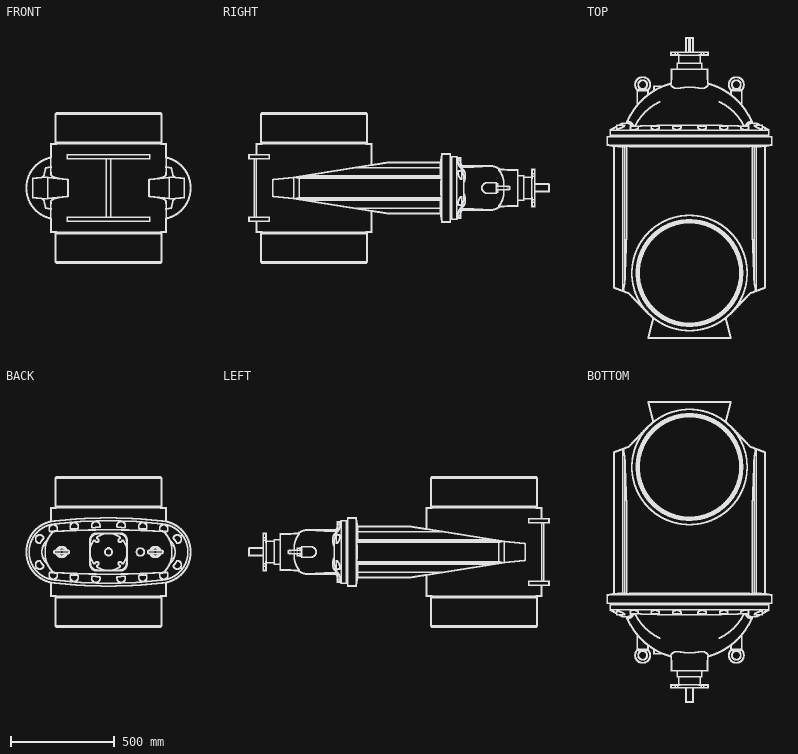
import cadquery as cq
import math


overall_length = 1446

bore_radius = 243.0
mouth_radius = 246.0
mouth_depth = 127.0
mouth_taper = 19.0
mouth_chamfer_radius = 249.0
mouth_chamfer_depth = 15.0
pipe_radius = 256.0
pipe_half_length = 363.0
pipe_chamfer = 7.0
groove_radius = 252.0
groove_width = 7.0
barrel_radius = 278.0
barrel_half_length = 213.0

foot_bottom = -314.0
foot_height = 101.0
foot_half_width = 200.0
foot_top_half_width = 174.0
foot_plate_offset = 150.0
foot_plate_thickness = 20.0
foot_web_width = 23.0
foot_web_bottom = -288.0

housing_half_height = 123.0
housing_shoulder = (302.0, 97.0)
housing_step = (311.0, 60.0)
rail_root = (321.0, 50.0)
rail_edge = (365.0, 46.0)
rail_end_y = -71.0
tongue_start = (292.0, -98.0)
tongue_end = (195.0, -200.0)
tongue_end_half_height = 40.0
slope_start_y = 353.0

flange_half_length = 396.0
flange_half_height = 165.0
flange_corner = (278.0, 147.0)
flange_bottom = 616.0
flange_top = 656.0
flange_draft_height = 7.0
flange_draft_inset = 42.0
cover_bottom = 662.0
cover_top = 688.0
cover_inset = 13.7
gasket_inset = 20.0

skirt_top = 722.0
skirt_inset = 75.0
dome_center_y = 597.0
dome_radius = 328.0
dome_half_height = 107.0
dome_half_length = 307.0
dome_corner = (266.0, 98.0)
dome_edge_radius = 80.0

bolt_radius = 20.0
bolt_top = 705.0
bolt_row_xs = (61.0, 165.0, 266.0)
bolt_row_inset = 38.0
end_bolt_x = 331.0
end_bolt_z = 62.0
end_bolt_top = 711.0

neck_half_width = 87.0
neck_corner_radius = 32.0
neck_top = 982.0
neck_plate_bottom = 947.0
neck_base_y = 853.0
neck_draft_angle = 4
collar_radius = 60.0
collar_top = 1011.0
yoke_radius = 52.0
disc_radius = 90.0
disc_bottom = 1048.0
disc_top = 1063.0
disc_slot_width = 16.0
disc_slot_center = 78.0
stem_radius = 17.0
stem_top = foot_bottom + overall_length
key_width = 7.0
key_top_z = 20.0
key_end_gap = 5.0

eye_x = 225.0
eye_y = 907.0
eye_ring_radius = 29.0
eye_wire_radius = 8.0
eye_collar_radius = 20.0
eye_collar_top = 885.0
eye_post_radius = 26.0
eye_post_top = 876.0
vent_x = -153.0
vent_radius = 19.0
vent_top = 900.0


def y_plane(y):
    """Sketch plane facing +X right and +Z up at the given Y."""
    return cq.Workplane("XZ", origin=(0, y, 0))


def y_cylinder(radius, bottom, top, x=0, z=0):
    return y_plane(bottom).center(x, z).circle(radius).extrude(bottom - top)


def mirrored_x(points):
    """Complete a right-hand chain of points with its mirror image across x = 0."""
    return points + [(-x, y) for x, y in reversed(points)]


def rounded_outline(plane, half_length, half_height, corner):
    """Closed outline of two shallow long arcs and two rounded ends that meet at the corners."""
    corner_x, corner_z = corner
    return (
        plane.moveTo(-corner_x, corner_z)
        .threePointArc((0, half_height), (corner_x, corner_z))
        .threePointArc((half_length, 0), (corner_x, -corner_z))
        .threePointArc((0, -half_height), (-corner_x, -corner_z))
        .threePointArc((-half_length, 0), (-corner_x, corner_z))
        .close()
    )


def flange_outline(plane, inset):
    """Flange outline moved inwards by inset."""
    corner = (flange_corner[0] - inset / 2, flange_corner[1] - inset)
    return rounded_outline(plane, flange_half_length - inset, flange_half_height - inset, corner)


def flange_slab(inset, bottom, top):
    return flange_outline(y_plane(bottom), inset).extrude(bottom - top)


def flange_taper(bottom_inset, top_inset, bottom, top):
    lower = flange_outline(y_plane(bottom), bottom_inset)
    upper = flange_outline(lower.workplane(offset=bottom - top), top_inset)
    return upper.loft(ruled=True)


def make_pipe():
    ends = cq.Workplane("XY").circle(pipe_radius).extrude(pipe_half_length, both=True)
    ends = ends.faces("|Z").edges().chamfer(pipe_chamfer)
    groove_half = barrel_half_length + groove_width
    grooves = (
        cq.Workplane("XY").circle(barrel_radius).circle(groove_radius).extrude(groove_half, both=True)
    )
    barrel = cq.Workplane("XY").circle(barrel_radius).extrude(barrel_half_length, both=True)
    return ends.cut(grooves).union(barrel)


def make_bore():
    """Through bore that widens slightly at both mouths, with a bevelled rim."""
    taper_outer = pipe_half_length - mouth_depth
    taper_inner = taper_outer - mouth_taper
    half = [
        (mouth_chamfer_radius, pipe_half_length),
        (mouth_radius, pipe_half_length - mouth_chamfer_depth),
        (mouth_radius, taper_outer),
        (bore_radius, taper_inner),
    ]
    profile = [(0, pipe_half_length)] + half
    profile += [(r, -z) for r, z in reversed(profile)]
    return cq.Workplane("XZ").polyline(profile).close().revolve(360, (0, 0, 0), (0, 1, 0))


def make_foot():
    foot_top = foot_bottom + foot_height
    outline = mirrored_x([(foot_half_width, foot_bottom), (foot_top_half_width, foot_top)])
    foot = cq.Workplane("XY").box(
        foot_web_width, -foot_web_bottom, 2 * foot_plate_offset + foot_plate_thickness
    ).translate((0, foot_web_bottom / 2, 0))
    for z in (-foot_plate_offset, foot_plate_offset):
        plate = cq.Workplane("XY", origin=(0, 0, z - foot_plate_thickness / 2))
        foot = foot.union(plate.polyline(outline).close().extrude(foot_plate_thickness))
    return foot


def make_housing():
    """Cross-section with crowned faces and side rails, trimmed to its plan and side outlines."""
    tongue_y = tongue_end[1]
    sx, sz = housing_shoulder
    side = [housing_step, rail_root, rail_edge]
    lower_side = [(x, -z) for x, z in reversed(side)]
    section = y_plane(tongue_y).moveTo(-sx, sz).threePointArc((0, housing_half_height), (sx, sz))
    for point in side + lower_side + [(sx, -sz)]:
        section = section.lineTo(*point)
    section = section.threePointArc((0, -housing_half_height), (-sx, -sz))
    for x, z in side + lower_side:
        section = section.lineTo(-x, -z)
    housing = section.close().extrude(tongue_y - flange_bottom)

    plan = mirrored_x([
        (rail_edge[0], flange_bottom),
        (rail_edge[0], rail_end_y),
        tongue_start,
        tongue_end,
    ])
    plan_solid = cq.Workplane("XY").polyline(plan).close().extrude(housing_half_height, both=True)

    upper = [
        (flange_bottom, housing_half_height),
        (slope_start_y, housing_half_height),
        (tongue_start[1], rail_root[1]),
        (tongue_y, tongue_end_half_height),
    ]
    side_outline = upper + [(y, -z) for y, z in reversed(upper)]
    side_solid = cq.Workplane("YZ").polyline(side_outline).close().extrude(rail_edge[0], both=True)
    return housing.intersect(plan_solid).intersect(side_solid)


def make_flanges():
    draft = flange_taper(flange_draft_inset, 0, flange_bottom - flange_draft_height, flange_bottom)
    body_flange = flange_slab(0, flange_bottom, flange_top)
    gasket = flange_slab(gasket_inset, flange_top, cover_bottom)
    cover = flange_slab(cover_inset, cover_bottom, cover_top)
    return draft.union(body_flange).union(gasket).union(cover)


def make_bonnet():
    """Sloping skirt under a rounded dome whose faces are crowned like the flanges."""
    skirt = flange_taper(cover_inset, skirt_inset, cover_top, skirt_top)
    dome_top = dome_center_y + dome_radius
    rise = cover_top - dome_center_y
    half_chord = math.sqrt(dome_radius**2 - rise**2)
    dome = (
        cq.Workplane("XY")
        .moveTo(-half_chord, cover_top)
        .threePointArc((0, dome_top), (half_chord, cover_top))
        .close()
        .extrude(dome_half_height, both=True)
        .edges("%CIRCLE")
        .fillet(dome_edge_radius)
    )
    footprint = rounded_outline(y_plane(cover_top), dome_half_length, dome_half_height, dome_corner)
    dome = dome.intersect(footprint.extrude(cover_top - dome_top))
    return skirt.union(dome)


def make_bolts():
    bolts = cq.Workplane("XY")
    corner_x, corner_z = flange_corner
    drop = (flange_half_height - corner_z) / corner_x**2
    for x in bolt_row_xs:
        z = flange_half_height - drop * x**2 - bolt_row_inset
        for sx in (-1, 1):
            for sz in (-1, 1):
                bolts = bolts.union(y_cylinder(bolt_radius, cover_bottom, bolt_top, sx * x, sz * z))
    for x in (-end_bolt_x, end_bolt_x):
        for z in (-end_bolt_z, end_bolt_z):
            bolts = bolts.union(y_cylinder(bolt_radius, cover_bottom, end_bolt_top, x, z))
    return bolts


def make_neck():
    """Neck block, collar, yoke and slotted disc stacked below the keyed stem."""
    width = 2 * neck_half_width
    outline = cq.Sketch().rect(width, width).vertices().fillet(neck_corner_radius)
    neck_plane = y_plane(neck_plate_bottom)
    plate = neck_plane.placeSketch(outline).extrude(neck_plate_bottom - neck_top)
    base = neck_plane.placeSketch(outline).extrude(neck_plate_bottom - neck_base_y, taper=-neck_draft_angle)
    neck = plate.union(base)
    collar = y_cylinder(collar_radius, neck_top, collar_top)
    yoke = y_cylinder(yoke_radius, collar_top, disc_bottom)
    disc = y_cylinder(disc_radius, disc_bottom, disc_top)
    slot = (
        y_plane(disc_bottom)
        .center(disc_slot_center + disc_radius / 2, 0)
        .slot2D(disc_radius + disc_slot_width, disc_slot_width)
        .extrude(disc_bottom - disc_top)
    )
    for angle in (45, 135, 225, 315):
        disc = disc.cut(slot.rotate((0, 0, 0), (0, 1, 0), angle))
    stem = y_cylinder(stem_radius, disc_top, stem_top)
    key_length = stem_top - key_end_gap - disc_top
    key = y_plane(disc_top).center(0, key_top_z / 2).rect(key_width, key_top_z).extrude(-key_length)
    return neck.union(collar).union(yoke).union(disc).union(stem).union(key)


def make_eye(x):
    post = y_cylinder(eye_post_radius, skirt_top, eye_post_top, x)
    collar = y_cylinder(eye_collar_radius, eye_post_top, eye_collar_top, x)
    ring = cq.Workplane(
        cq.Solid.makeTorus(eye_ring_radius, eye_wire_radius, cq.Vector(x, eye_y, 0), cq.Vector(0, 0, 1))
    )
    return post.union(collar).union(ring)


result = make_pipe().union(make_foot()).union(make_housing()).union(make_flanges())
result = result.union(make_bonnet()).union(make_bolts()).union(make_neck())
for eye_side in (-eye_x, eye_x):
    result = result.union(make_eye(eye_side))
result = result.union(y_cylinder(vent_radius, skirt_top, vent_top, vent_x))
result = result.cut(make_bore())